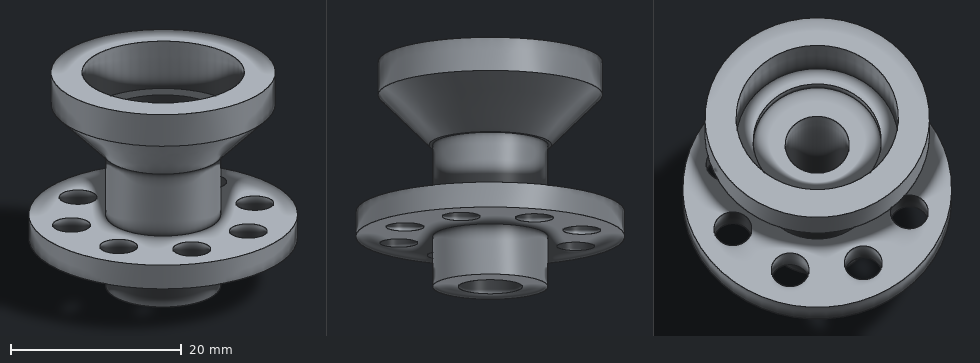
import cadquery as cq

total_height = 27.0
flange_bottom = 6.02
flange_thickness = 3.0
cup_rim_height = 4.0
cone_height = 6.0

flange_diameter = 31.5
stem_diameter = 13.5
cup_diameter = 26.3
cone_small_diameter = cup_diameter - 2 * cone_height

pocket_diameter = 19.0
pocket_depth = 6.0
recess_diameter = 15.0
recess_depth = 1.0
bore_diameter = 7.5

hole_count = 8
hole_diameter = 4.4
hole_circle_diameter = 22.5

cone_top = total_height - cup_rim_height
cone_bottom = cone_top - cone_height
pocket_floor = total_height - pocket_depth
recess_floor = pocket_floor - recess_depth


def cylinder(diameter, bottom, height):
    """Solid cylinder on the Z axis."""
    return cq.Workplane("XY").workplane(offset=bottom).circle(diameter / 2).extrude(height)


def make_cup():
    """Flared cup: a cone below a straight rim, revolved about Z."""
    return (
        cq.Workplane("XZ")
        .moveTo(0, cone_bottom)
        .lineTo(cone_small_diameter / 2, cone_bottom)
        .lineTo(cup_diameter / 2, cone_top)
        .lineTo(cup_diameter / 2, total_height)
        .lineTo(0, total_height)
        .close()
        .revolve(360, (0, 0, 0), (0, 1, 0))
    )


def make_flange():
    """Round flange with a ring of through holes."""
    holes = (
        cq.Workplane("XY")
        .workplane(offset=flange_bottom)
        .polarArray(hole_circle_diameter / 2, 0, 360, hole_count)
        .circle(hole_diameter / 2)
        .extrude(flange_thickness)
    )
    return cylinder(flange_diameter, flange_bottom, flange_thickness).cut(holes)


stem = cylinder(stem_diameter, 0, cone_bottom)
body = stem.union(make_flange()).union(make_cup())

pocket = cylinder(pocket_diameter, pocket_floor, pocket_depth)
recess = cylinder(recess_diameter, recess_floor, recess_depth)
bore = cylinder(bore_diameter, 0, total_height)

result = body.cut(pocket).cut(recess).cut(bore)